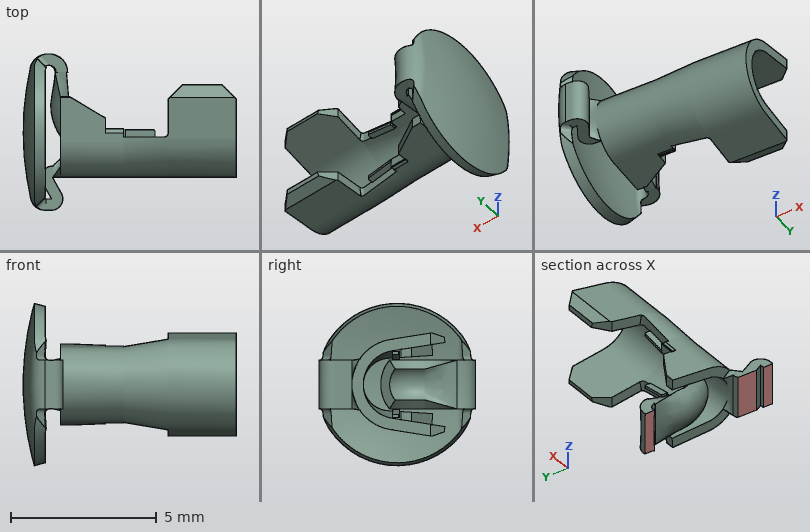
import cadquery as cq
import math


SHEET = 0.395
LENGTH = 7.32
STRIP_HALF_WIDTH = 0.835
FOLD_REACH = 2.69

BUTTON_RADIUS = 2.79
BUTTON_RISE = 0.39
RIM_TAPER = 15.0
DOME_RADIUS = (BUTTON_RADIUS**2 + BUTTON_RISE**2) / (2 * BUTTON_RISE)
SHOULDER_REACH = 3.01
SHOULDER_FILLET = 0.16
BUTTON_SWEEP = 34.0

UPPER_BEND = 0.64
LOWER_BEND = 0.505
LOWER_KNEE_X = 0.97
NECK_X = 1.02

TAB_X = 0.945
TAB_BEND_Y = 0.95
TAB_RADIUS = 1.08
TAB_BEND_RADIUS = 1.98
TAB_BEND_ANGLE = 50.0

FLOOR_Y = -1.56
WIRE_X = 1.28
FLARE_X = 3.455
CRIMP_X = 4.98
WIRE_RADIUS = 1.295
WIRE_TILT = 3.8
WIRE_TOP_Y = 1.215
CRIMP_RADIUS = 1.57
CRIMP_TILT = 9.0
CRIMP_TOP_Y = 1.64
WING_CHAMFER = 0.505
WING_BEVEL_HEIGHT = 0.395
WING_BEVEL_DEPTH = 0.21
NECK_ANGLE = 43.6

SLOPE_START_X = 1.6
SLOPE_END_X = 2.83
SLOPE_END_Y = 0.48
STEP_Y = 0.125
STEP_BEVEL_HEIGHT = 0.13
STEP_BEVEL_DEPTH = 0.06

FLARE_TOP_Y = -0.16
FLARE_FILLET = 0.12

RAIL_START_X = 3.505
RAIL_END_X = 4.53
RAIL_TOP_Y = 0.08
RAIL_INSET = 0.345
RAIL_THICKNESS = 0.1
RAIL_CHAMFER = 0.045

BIG = 2 * LENGTH


def polar(center, radius, degrees):
    """Point at an angle from +X around a centre."""
    angle = math.radians(degrees)
    return center[0] + radius * math.cos(angle), center[1] + radius * math.sin(angle)


def dome_bend(radius, side):
    """Centre of a bend tangent to the dome, and its direction in degrees from the dome centre."""
    y = side * (FOLD_REACH - radius)
    x = DOME_RADIUS - math.sqrt((DOME_RADIUS - radius) ** 2 - y**2)
    return (x, y), math.degrees(math.atan2(y, x - DOME_RADIUS)) % 360


UPPER_CENTER, UPPER_ANGLE = dome_bend(UPPER_BEND, 1)
LOWER_CENTER, LOWER_ANGLE = dome_bend(LOWER_BEND, -1)
DOME_CENTER = (DOME_RADIUS, 0.0)


def gutter_section(plane, radius, half_angle):
    """Arched strip section; local x is the thickness direction, local y is Z."""
    center = (radius, 0.0)
    inner = radius - SHEET
    return (
        cq.Workplane(plane)
        .moveTo(*polar(center, radius, 180 - half_angle))
        .threePointArc((0, 0), polar(center, radius, 180 + half_angle))
        .lineTo(*polar(center, inner, 180 + half_angle))
        .threePointArc((SHEET, 0), polar(center, inner, 180 - half_angle))
        .close()
    )


def flat_section(plane):
    """Flat strip section with its corners in the order of gutter_section."""
    w = STRIP_HALF_WIDTH
    return cq.Workplane(plane).polyline([(0, w), (0, -w), (SHEET, -w), (SHEET, w)]).close()


def loft_between(first, second):
    """Solid ruled between two closed sections."""
    wires = [first.wires().val(), second.wires().val()]
    return cq.Workplane(cq.Solid.makeLoft(wires, True))


def along_z(outline, half_width):
    return outline.extrude(half_width, both=True)



def around_dome(outline):
    """Sweep an XY outline about the Y-parallel axis through the dome centre, following the dome."""
    half_turn = BUTTON_SWEEP / 2
    swept = outline.revolve(BUTTON_SWEEP, (DOME_RADIUS, 0, 0), (DOME_RADIUS, 1, 0))
    return swept.rotate((DOME_RADIUS, 0, 0), (DOME_RADIUS, 1, 0), -half_turn)


def dome_outline():
    """Middle section of the dome, from bend to bend."""
    inner = DOME_RADIUS - SHEET
    return (
        cq.Workplane("XY")
        .moveTo(*polar(DOME_CENTER, DOME_RADIUS, UPPER_ANGLE))
        .threePointArc((0, 0), polar(DOME_CENTER, DOME_RADIUS, LOWER_ANGLE))
        .lineTo(*polar(DOME_CENTER, inner, LOWER_ANGLE))
        .threePointArc((SHEET, 0), polar(DOME_CENTER, inner, UPPER_ANGLE))
        .close()
    )


def bend_outline(center, radius, start, end):
    """Bent sheet between two directions around the bend centre."""
    inner = radius - SHEET
    middle = (start + end) / 2
    return (
        cq.Workplane("XY")
        .moveTo(*polar(center, radius, start))
        .threePointArc(polar(center, radius, middle), polar(center, radius, end))
        .lineTo(*polar(center, inner, end))
        .threePointArc(polar(center, inner, middle), polar(center, inner, start))
        .close()
    )


def shoulder_cutter(side):
    """Tool that narrows a bend to the strip width beyond its 45 degree shoulder."""
    start = SHOULDER_REACH / math.sqrt(2)
    width = STRIP_HALF_WIDTH
    fillet_center = (start + SHOULDER_FILLET, width + SHOULDER_FILLET)
    corner = (
        cq.Workplane(cq.Plane((0, 0, 0), (1, side, 0), (1, -side, 0)))
        .moveTo(start, BIG)
        .lineTo(start, fillet_center[1])
        .threePointArc(polar(fillet_center, SHOULDER_FILLET, 225), (fillet_center[0], width))
        .lineTo(BIG, width)
        .lineTo(BIG, BIG)
        .close()
        .extrude(BIG, both=True)
    )
    return corner.union(corner.mirror("XY"))


def rim_cutter():
    """Ring outside the button's tapered rim, reaching out to both shoulders."""
    taper = math.tan(math.radians(RIM_TAPER))
    front_x = -SHEET
    back_x = BUTTON_RISE + 4 * SHEET
    ring = (
        cq.Workplane("XY")
        .polyline([
            (front_x, BUTTON_RADIUS + taper * (BUTTON_RISE - front_x)),
            (back_x, BUTTON_RADIUS + taper * (BUTTON_RISE - back_x)),
            (back_x, BIG),
            (front_x, BIG),
        ])
        .close()
        .revolve(360, (0, 0, 0), (1, 0, 0))
    )
    between_shoulders = cq.Workplane("XY").polyline([
        (SHOULDER_REACH, 0),
        (front_x, SHOULDER_REACH - front_x),
        (front_x, front_x - SHOULDER_REACH),
    ]).close()
    return ring.intersect(along_z(between_shoulders, BIG))


def button():
    """Domed shell and the bends along its upper and lower edges."""
    upper_bend = around_dome(bend_outline(UPPER_CENTER, UPPER_BEND, UPPER_ANGLE, 0))
    lower_bend = around_dome(bend_outline(LOWER_CENTER, LOWER_BEND, LOWER_ANGLE, 270))
    body = around_dome(dome_outline())
    body = body.union(upper_bend.cut(shoulder_cutter(1)))
    body = body.union(lower_bend.cut(shoulder_cutter(-1)))
    trimmed = body.cut(rim_cutter())
    return cq.Workplane(max(trimmed.solids().vals(), key=lambda solid: solid.Volume()))


def lower_strip():
    """Strip from the lower bend: a sharp turn back, then a sharp turn onto the barrel floor."""
    knee = (LOWER_KNEE_X, SHEET - FOLD_REACH)
    neck_corner = (NECK_X, FLOOR_Y)
    span = math.dist(knee, neck_corner)
    lean = math.degrees(math.atan2(neck_corner[1] - knee[1], neck_corner[0] - knee[0]))
    square = lean + math.degrees(math.asin(SHEET / span)) - 90
    outline = (
        cq.Workplane("XY")
        .moveTo(*polar(LOWER_CENTER, LOWER_BEND, 270))
        .lineTo(*polar(knee, SHEET, 270))
        .threePointArc(polar(knee, SHEET, (square - 90) / 2), polar(knee, SHEET, square))
        .lineTo(*neck_corner)
        .lineTo(*polar(neck_corner, SHEET, 90))
        .threePointArc(
            polar(neck_corner, SHEET, (270 + square) / 2), polar(neck_corner, SHEET, 180 + square)
        )
        .lineTo(*knee)
        .lineTo(*polar(LOWER_CENTER, LOWER_BEND - SHEET, 270))
        .close()
    )
    return along_z(outline, STRIP_HALF_WIDTH)


def tab():
    """Arched continuation of the upper strip, turning from -Y towards the barrel."""
    half_angle = math.degrees(math.asin(STRIP_HALF_WIDTH / TAB_RADIUS))
    fold_end_x = UPPER_CENTER[0] + UPPER_BEND - SHEET
    start = cq.Plane((fold_end_x, UPPER_CENTER[1], 0), (1, 0, 0), (0, -1, 0))
    bend = cq.Plane((TAB_X, TAB_BEND_Y, 0), (1, 0, 0), (0, -1, 0))
    arch = gutter_section(bend, TAB_RADIUS, half_angle)
    turn = arch.revolve(TAB_BEND_ANGLE, (TAB_BEND_RADIUS, 0, 0), (TAB_BEND_RADIUS, 1, 0))
    return loft_between(flat_section(start), gutter_section(bend, TAB_RADIUS, half_angle)).union(turn)


def neck():
    """Lower strip curling up into the floor of the wire crimp."""
    start = cq.Plane((NECK_X, FLOOR_Y, 0), (0, 1, 0), (1, 0, 0))
    end = cq.Plane((WIRE_X, FLOOR_Y, 0), (0, 1, 0), (1, 0, 0))
    return loft_between(flat_section(start), gutter_section(end, WIRE_RADIUS, NECK_ANGLE))



def wall_points(radius, tilt, top_y):
    """Tangent and tip points, as (Y, Z), of the outer and inner faces of the +Z wall."""
    center = (FLOOR_Y + radius, 0.0)
    outer_tangent = polar(center, radius, 90 + tilt)
    inner_tangent = polar(center, radius - SHEET, 90 + tilt)
    height = (top_y - inner_tangent[0]) / math.cos(math.radians(tilt))
    return outer_tangent, polar(outer_tangent, height, tilt), polar(inner_tangent, height, tilt), inner_tangent


def mirrored(point):
    return point[0], -point[1]


def u_section(x, radius, tilt, top_y):
    """U-shaped sheet section with leaning walls."""
    outer_tangent, outer_tip, inner_tip, inner_tangent = wall_points(radius, tilt, top_y)
    return (
        cq.Workplane("YZ", origin=(x, 0, 0))
        .moveTo(*outer_tip)
        .lineTo(*outer_tangent)
        .threePointArc((FLOOR_Y, 0), mirrored(outer_tangent))
        .lineTo(*mirrored(outer_tip))
        .lineTo(*mirrored(inner_tip))
        .lineTo(*mirrored(inner_tangent))
        .threePointArc((FLOOR_Y + SHEET, 0), inner_tangent)
        .lineTo(*inner_tip)
        .close()
    )


def tip_bevel(x_start, x_end, radius, tilt, top_y, height, depth):
    """Cutter that bevels the outer tip edge of both walls."""
    tip = wall_points(radius, tilt, top_y)[1]
    corner = [tip, polar(tip, height, 180 + tilt), polar(tip, depth, tilt - 90)]
    wedge = cq.Workplane("YZ", origin=(x_start, 0, 0)).polyline(corner).close().extrude(x_end - x_start)
    return wedge.union(wedge.mirror("XY"))


def wire_crimp():
    """Front part of the barrel, its walls stepping down towards the flare."""
    body = u_section(WIRE_X, WIRE_RADIUS, WIRE_TILT, WIRE_TOP_Y).extrude(FLARE_X - WIRE_X)
    above = cq.Workplane("XY").polyline([
        (SLOPE_START_X, WIRE_TOP_Y),
        (SLOPE_END_X, SLOPE_END_Y),
        (SLOPE_END_X, STEP_Y),
        (FLARE_X, STEP_Y),
        (FLARE_X, WIRE_TOP_Y),
    ]).close()
    bevel = tip_bevel(
        SLOPE_END_X, FLARE_X, WIRE_RADIUS, WIRE_TILT, STEP_Y, STEP_BEVEL_HEIGHT, STEP_BEVEL_DEPTH
    )
    return body.cut(along_z(above, BIG)).cut(bevel)


def flare():
    """Low-walled transition, filleted up to the insulation wings."""
    high_y = FLARE_TOP_Y + FLARE_FILLET
    body = loft_between(
        u_section(FLARE_X, WIRE_RADIUS, WIRE_TILT, high_y),
        u_section(CRIMP_X, CRIMP_RADIUS, CRIMP_TILT, high_y),
    )
    fillet_center = (CRIMP_X - FLARE_FILLET, high_y)
    above = (
        cq.Workplane("XY")
        .moveTo(FLARE_X, FLARE_TOP_Y)
        .lineTo(fillet_center[0], FLARE_TOP_Y)
        .threePointArc(polar(fillet_center, FLARE_FILLET, -45), (CRIMP_X, high_y))
        .lineTo(CRIMP_X, CRIMP_TOP_Y)
        .lineTo(FLARE_X, CRIMP_TOP_Y)
        .close()
    )
    return body.cut(along_z(above, BIG))


def insulation_crimp():
    """Rear part of the barrel, with bevelled wings whose corners are chamfered."""
    body = u_section(CRIMP_X, CRIMP_RADIUS, CRIMP_TILT, CRIMP_TOP_Y).extrude(LENGTH - CRIMP_X)
    for x, inward in ((CRIMP_X, 1), (LENGTH, -1)):
        corner = cq.Workplane("XY").polyline([
            (x, CRIMP_TOP_Y),
            (x + inward * WING_CHAMFER, CRIMP_TOP_Y),
            (x, CRIMP_TOP_Y - WING_CHAMFER),
        ]).close()
        body = body.cut(along_z(corner, BIG))
    return body.cut(tip_bevel(
        CRIMP_X, LENGTH, CRIMP_RADIUS, CRIMP_TILT, CRIMP_TOP_Y, WING_BEVEL_HEIGHT, WING_BEVEL_DEPTH
    ))


def terminal():
    """The whole folded sheet as one solid."""
    body = button()
    for piece in (
        lower_strip(),
        tab(),
        neck(),
        wire_crimp(),
        flare(),
        insulation_crimp(),
    ):
        body = body.union(piece)
    return body



def rail(side):
    """Thin bar standing on the inner edge of one flare wall and following its spread."""
    narrow_z = wall_points(WIRE_RADIUS, WIRE_TILT, FLARE_TOP_Y)[1][1]
    wide_z = wall_points(CRIMP_RADIUS, CRIMP_TILT, FLARE_TOP_Y)[1][1]
    spread = (wide_z - narrow_z) / (CRIMP_X - FLARE_X)
    start_z = narrow_z + spread * (RAIL_START_X - FLARE_X) - RAIL_INSET
    end_z = narrow_z + spread * (RAIL_END_X - FLARE_X) - RAIL_INSET
    outline = [
        (RAIL_START_X, side * start_z),
        (RAIL_END_X, side * end_z),
        (RAIL_END_X, side * (end_z - RAIL_THICKNESS)),
        (RAIL_START_X, side * (start_z - RAIL_THICKNESS)),
    ]
    bar = (
        cq.Workplane("XZ", origin=(0, RAIL_TOP_Y, 0))
        .polyline(outline)
        .close()
        .extrude(RAIL_TOP_Y - FLARE_TOP_Y)
    )
    outer_edge = ">Z" if side > 0 else "<Z"
    return bar.faces(">Y").edges(outer_edge).chamfer(RAIL_CHAMFER)


contact = terminal().solids().val()
rails = [rail(side).val() for side in (1, -1)]

result = cq.Compound.makeCompound([contact, *rails])